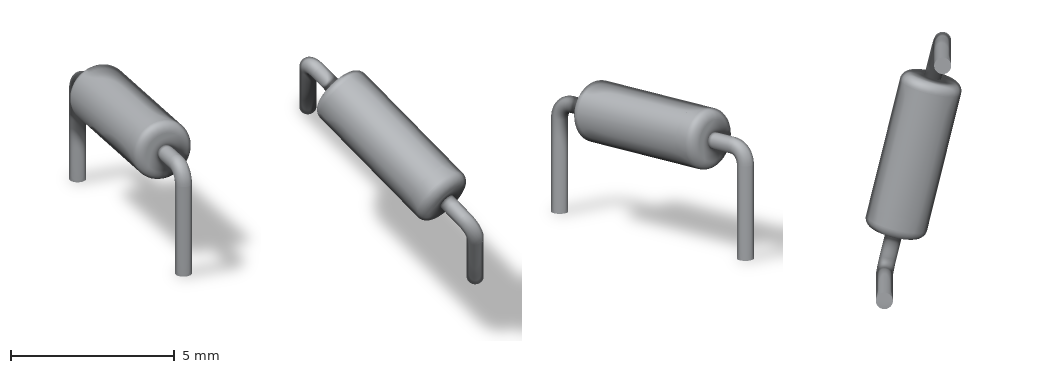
import cadquery as cq

overall_length = 8.14
overall_height = 4.46
body_diameter = 1.92
body_length = 5.02
edge_radius = 0.29
band_length = 0.71
lead_diameter = 0.52
bend_radius = 0.5

body_radius = body_diameter / 2
lead_radius = lead_diameter / 2
body_end = body_length / 2
band_start = body_end - band_length
lead_offset = overall_length / 2 - lead_radius
bend_start = lead_offset - bend_radius
lead_bottom = body_radius - overall_height


def rod_along_x(radius, start, end):
    """Round rod on the X axis, from start to end."""
    return cq.Workplane("YZ", origin=(start, 0, 0)).circle(radius).extrude(end - start)


def make_main_body():
    """Long part of the cylindrical body, rounded at its -X end."""
    return rod_along_x(body_radius, -body_end, band_start).faces("<X").edges().fillet(edge_radius)


def make_end_band():
    """Marked end of the body, rounded at its +X end."""
    return rod_along_x(body_radius, band_start, body_end).faces(">X").edges().fillet(edge_radius)


def make_axial_lead():
    """Straight lead from the +X end face of the body to the bend."""
    return rod_along_x(lead_radius, body_end, bend_start)


def make_lead_bend():
    """Quarter-turn elbow that takes the lead from +X to -Z."""
    return (
        cq.Workplane("YZ", origin=(bend_start, 0, 0))
        .circle(lead_radius)
        .revolve(90, (0, -bend_radius, 0), (1, -bend_radius, 0))
    )


def make_lead_leg():
    """Vertical leg from the bend down to the lead tip."""
    return (
        cq.Workplane("XY", origin=(lead_offset, 0, lead_bottom))
        .circle(lead_radius)
        .extrude(-bend_radius - lead_bottom)
    )


main_body = make_main_body()
end_band = make_end_band()

lead_pieces = []
for make_piece in (make_axial_lead, make_lead_bend, make_lead_leg):
    for turn in (0, 180):
        lead_pieces.append(make_piece().rotate((0, 0, 0), (0, 0, 1), turn).val())

result = cq.Compound.makeCompound([main_body.val(), end_band.val(), *lead_pieces])